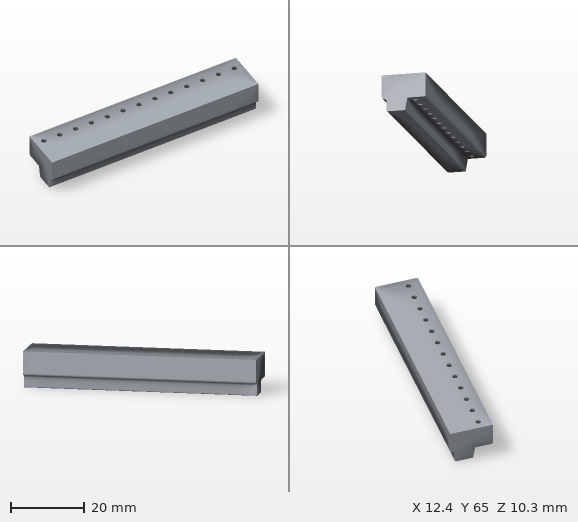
import cadquery as cq

hole_count = 13
hole_pitch = 5.0
hole_diameter = 1.5
hole_inset = 3.5

width = 12.4
length = hole_count * hole_pitch
height = 10.3
left = -width / 2
right = width / 2

foot_height = 3.5
foot_left_top = left + 5.2
foot_left_bottom = left + 5.8
foot_right = left + 11.0

left_edge_radius = 0.5
right_edge_radius = 0.7
foot_root_radius = 0.6
foot_edge_radius = 0.3


def make_bar():
    """Extrude the sharp-edged cross-section of bar and foot along Y."""
    outline = [
        (left, height),
        (left, foot_height),
        (foot_left_top, foot_height),
        (foot_left_bottom, 0),
        (foot_right, 0),
        (foot_right, foot_height),
        (right, foot_height),
        (right, height),
    ]
    section = cq.Workplane("XZ", origin=(0, length / 2, 0)).polyline(outline).close()
    return section.extrude(length)


def round_long_edge(body, x, z, radius):
    """Fillet the lengthwise edge that runs through (x, z)."""
    edge = cq.selectors.NearestToPointSelector((x, 0, z))
    return body.edges("|Y").edges(edge).fillet(radius)


def round_long_edges(body):
    """Round the lower edges of the bar, the right foot edge and the right foot root."""
    body = round_long_edge(body, left, foot_height, left_edge_radius)
    body = round_long_edge(body, right, foot_height, right_edge_radius)
    body = round_long_edge(body, foot_right, foot_height, foot_root_radius)
    return round_long_edge(body, foot_right, 0, foot_edge_radius)


def drill_holes(body):
    """Drill the row of vertical through holes, evenly spaced along the bar."""
    drills = (
        cq.Workplane("XY")
        .center(left + hole_inset, 0)
        .rarray(1, hole_pitch, 1, hole_count)
        .circle(hole_diameter / 2)
        .extrude(height)
    )
    return body.cut(drills)


result = drill_holes(round_long_edges(make_bar()))